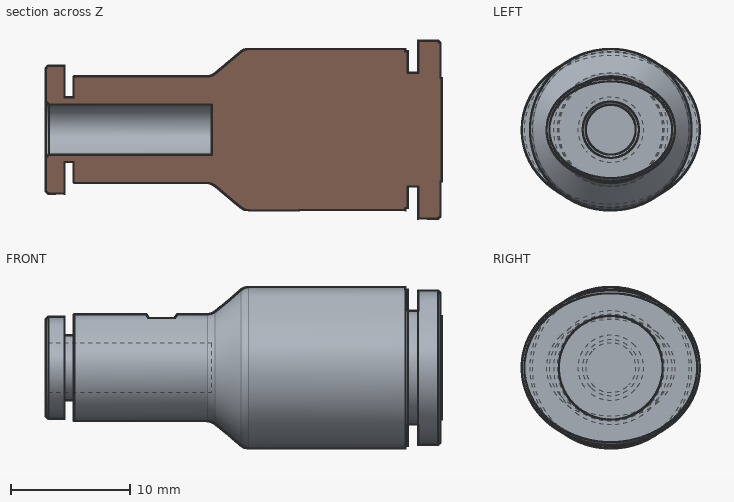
import cadquery as cq
import math

length = 33.3

small_collar_length = 1.6
small_collar_width = 10.8
small_collar_height = 8.6
large_collar_length = 1.9
large_collar_width = 15.0
large_collar_height = 13.0
end_boss_diameter = 8.72
end_boss_height = 0.1
collar_chamfer = 0.23

small_neck_diameter = 5.5
large_neck_diameter = 9.6

body_start = 2.33
body_end = 30.45
small_body_diameter = 9.0
large_body_diameter = 13.6
body_chamfer = 0.1
end_step_length = 0.2
end_step_depth = 0.2

shoulder_start = 13.95
shoulder_angle = 40.0
shoulder_fillet = 1.0
selection_margin = 0.03

flat_center = 9.75
flat_length = 2.2
flat_depth = 0.3
flat_end_slope = 55.0

socket_diameter = 4.2
socket_depth = shoulder_start
mouth_chamfer = 0.25


def disc(start, end, diameter):
    return cq.Workplane("YZ", origin=(start, 0, 0)).circle(diameter / 2).extrude(end - start)


def oval_collar(start, collar_length, width, height, outer_face):
    collar = cq.Workplane("YZ", origin=(start, 0, 0)).ellipse(width / 2, height / 2).extrude(collar_length)
    return collar.faces(outer_face).chamfer(collar_chamfer)


def stepped_body():
    """Revolved body: small cylinder, conical shoulder, large cylinder with a stepped end."""
    small_radius = small_body_diameter / 2
    large_radius = large_body_diameter / 2
    shoulder_length = (large_radius - small_radius) / math.tan(math.radians(shoulder_angle))
    shoulder_end = shoulder_start + shoulder_length
    step_start = body_end - end_step_length
    step_radius = large_radius - end_step_depth
    blank = (
        cq.Workplane("XY")
        .polyline([
            (body_start, 0),
            (body_start, small_radius - body_chamfer),
            (body_start + body_chamfer, small_radius),
            (shoulder_start, small_radius),
            (shoulder_end, large_radius),
            (step_start, large_radius),
            (step_start, step_radius),
            (body_end, step_radius),
            (body_end, 0),
        ])
        .close()
        .revolve(360, (0, 0, 0), (1, 0, 0))
    )
    shoulder_zone = cq.selectors.BoxSelector(
        (shoulder_start - selection_margin, -large_body_diameter, -large_body_diameter),
        (shoulder_end + selection_margin, large_body_diameter, large_body_diameter),
        boundingbox=True,
    )
    return blank.edges(shoulder_zone).edges("%CIRCLE").fillet(shoulder_fillet)


def flat_recess():
    floor_z = small_body_diameter / 2 - flat_depth
    cut_height = 2 * flat_depth
    half_floor = flat_length / 2
    half_top = half_floor + cut_height / math.tan(math.radians(flat_end_slope))
    return (
        cq.Workplane("XZ", origin=(flat_center, 0, floor_z))
        .polyline([(-half_floor, 0), (half_floor, 0), (half_top, cut_height), (-half_top, cut_height)])
        .close()
        .extrude(small_body_diameter / 2, both=True)
    )


def tube_socket():
    radius = socket_diameter / 2
    return (
        cq.Workplane("XY")
        .polyline([
            (0, 0),
            (0, radius + mouth_chamfer),
            (mouth_chamfer, radius),
            (socket_depth, radius),
            (socket_depth, 0),
        ])
        .close()
        .revolve(360, (0, 0, 0), (1, 0, 0))
    )


large_collar_end = length - end_boss_height
large_collar_start = large_collar_end - large_collar_length

small_collar = oval_collar(0, small_collar_length, small_collar_width, small_collar_height, "<X")
small_neck = disc(small_collar_length, body_start, small_neck_diameter)
large_neck = disc(body_end, large_collar_start, large_neck_diameter)
large_collar = oval_collar(
    large_collar_start, large_collar_length, large_collar_width, large_collar_height, ">X"
)
end_boss = disc(large_collar_end, length, end_boss_diameter)

solid = stepped_body()
for section in (small_collar, small_neck, large_neck, large_collar, end_boss):
    solid = solid.union(section)

result = solid.cut(flat_recess()).cut(tube_socket())